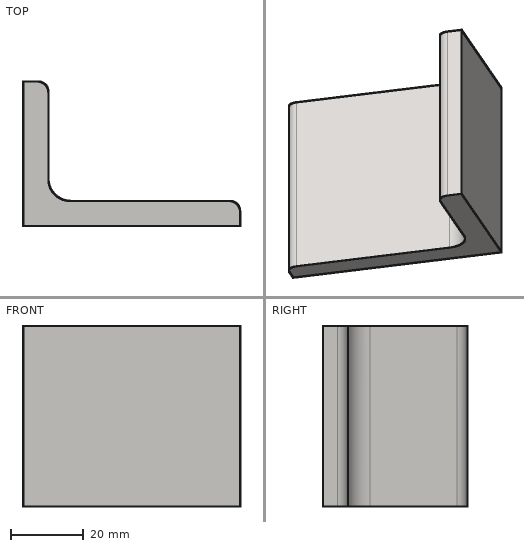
import cadquery as cq

long_leg = 60.0
short_leg = 40.0
length = 50.0
thickness = 7.0
root_radius = 6.0
toe_radius = 3.0


def angle_blank():
    """Sharp-cornered L section with its heel at the origin."""
    return (
        cq.Workplane("XY")
        .moveTo(0, 0)
        .lineTo(long_leg, 0)
        .lineTo(long_leg, thickness)
        .lineTo(thickness, thickness)
        .lineTo(thickness, short_leg)
        .lineTo(0, short_leg)
        .close()
        .extrude(length)
    )


def round_vertical_edge(body, x, y, radius):
    """Fillet the full-length edge that stands at (x, y)."""
    edge = cq.selectors.NearestToPointSelector((x, y, length / 2))
    return body.edges("|Z").edges(edge).fillet(radius)


result = angle_blank()
result = round_vertical_edge(result, thickness, thickness, root_radius)
result = round_vertical_edge(result, long_leg, thickness, toe_radius)
result = round_vertical_edge(result, thickness, short_leg, toe_radius)